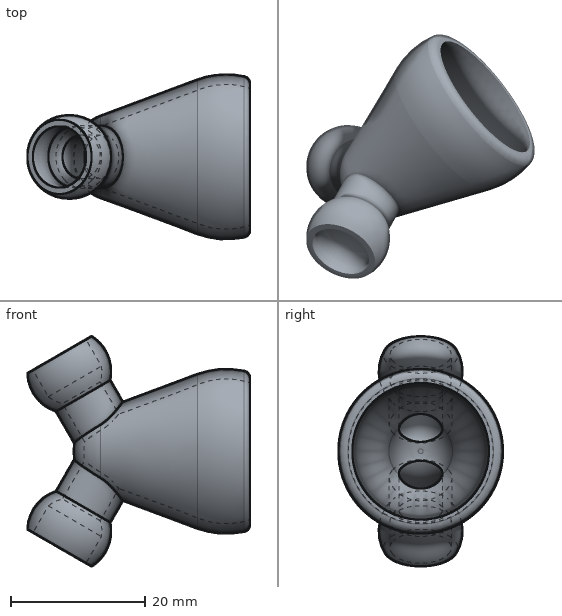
import cadquery as cq
import math


WALL = 1.5
SOCKET_RADIUS = 12.32
SOCKET_CENTER_X = 16.56
SOCKET_FACE_X = 20.15
RIM_FILLET = 1.2
CONE_ANGLE = math.radians(20.5)
NOSE_FLAT_RADIUS = 0.36

ARM_ANGLE = 30.0
BALL_DISTANCE = 13.715
BALL_RADIUS = 6.27
BALL_FACE_OFFSET = 2.92
NECK_RADIUS = 4.69
BORE_RADIUS = 3.25
MOUTH_RADIUS = 4.57
BALL_CAVITY_RADIUS = 4.87

FACE_DISTANCE = BALL_DISTANCE + BALL_FACE_OFFSET
MOUTH_TO_CAVITY = math.sqrt(BALL_CAVITY_RADIUS**2 - MOUTH_RADIUS**2)
BORE_TO_CAVITY = math.sqrt(BALL_CAVITY_RADIUS**2 - BORE_RADIUS**2)

NOSE_CENTER_X = 0.0
NOSE_RADIUS = (
    SOCKET_RADIUS
    - (SOCKET_CENTER_X - NOSE_CENTER_X) * math.sin(CONE_ANGLE)
    - NOSE_FLAT_RADIUS * math.cos(CONE_ANGLE)
)


def arc_point(center_x, center_r, radius, angle):
    """Point on an arc, with the angle measured from the radial direction toward -X."""
    return (center_x - radius * math.sin(angle), center_r + radius * math.cos(angle))


def body_of_revolution(inset):
    """Nose, cone and socket sphere, all moved inward by inset and cut flat at the socket face."""
    nose_radius = NOSE_RADIUS - inset
    socket_radius = SOCKET_RADIUS - inset
    face_angle = -math.asin((SOCKET_FACE_X - SOCKET_CENTER_X) / socket_radius)
    nose_middle = (CONE_ANGLE + math.pi / 2) / 2
    socket_middle = (CONE_ANGLE + face_angle) / 2
    tip_x = NOSE_CENTER_X - nose_radius
    profile = (
        cq.Workplane("XY")
        .moveTo(tip_x, 0)
        .lineTo(tip_x, NOSE_FLAT_RADIUS)
        .threePointArc(
            arc_point(NOSE_CENTER_X, NOSE_FLAT_RADIUS, nose_radius, nose_middle),
            arc_point(NOSE_CENTER_X, NOSE_FLAT_RADIUS, nose_radius, CONE_ANGLE),
        )
        .lineTo(*arc_point(SOCKET_CENTER_X, 0, socket_radius, CONE_ANGLE))
        .threePointArc(
            arc_point(SOCKET_CENTER_X, 0, socket_radius, socket_middle),
            arc_point(SOCKET_CENTER_X, 0, socket_radius, face_angle),
        )
        .lineTo(SOCKET_FACE_X, 0)
        .close()
    )
    return profile.revolve(360, (0, 0, 0), (1, 0, 0))


def outer_body():
    return body_of_revolution(0).faces(">X").edges().fillet(RIM_FILLET)


def tilt_arm(upright, side):
    """Turn a solid built along +Z onto the upper (+1) or lower (-1) arm axis."""
    tilted = upright.rotate((0, 0, 0), (0, 1, 0), -ARM_ANGLE)
    if side < 0:
        return tilted.mirror("XY")
    return tilted


def arm_solid():
    """Neck and ball, the ball cut flat at its mouth."""
    neck = cq.Workplane("XY").circle(NECK_RADIUS).extrude(BALL_DISTANCE)
    ball = cq.Workplane("XY").sphere(BALL_RADIUS).translate((0, 0, BALL_DISTANCE))
    beyond_face = (
        cq.Workplane("XY").workplane(offset=FACE_DISTANCE).circle(BALL_RADIUS).extrude(BALL_RADIUS)
    )
    return neck.union(ball).cut(beyond_face)


def arm_passage():
    """Neck bore, spherical seat and cylindrical mouth as one revolved solid."""
    seat_middle_angle = (
        math.asin(MOUTH_RADIUS / BALL_CAVITY_RADIUS) + math.asin(BORE_RADIUS / BALL_CAVITY_RADIUS)
    ) / 2
    seat_middle = (
        BALL_CAVITY_RADIUS * math.sin(seat_middle_angle),
        BALL_DISTANCE - BALL_CAVITY_RADIUS * math.cos(seat_middle_angle),
    )
    return (
        cq.Workplane("XZ")
        .lineTo(BORE_RADIUS, 0)
        .lineTo(BORE_RADIUS, BALL_DISTANCE - BORE_TO_CAVITY)
        .threePointArc(seat_middle, (MOUTH_RADIUS, BALL_DISTANCE - MOUTH_TO_CAVITY))
        .lineTo(MOUTH_RADIUS, FACE_DISTANCE)
        .lineTo(0, FACE_DISTANCE)
        .close()
        .revolve(360, (0, 0, 0), (0, 1, 0))
    )


result = outer_body()
for side in (1, -1):
    result = result.union(tilt_arm(arm_solid(), side))
result = result.cut(body_of_revolution(WALL))
for side in (1, -1):
    result = result.cut(tilt_arm(arm_passage(), side))